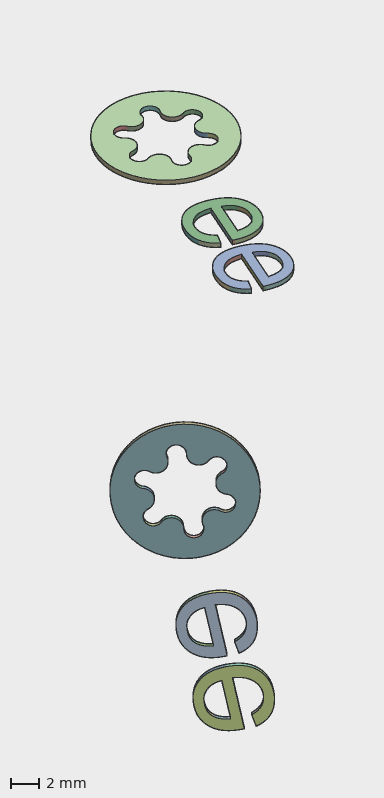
import cadquery as cq
import math

overall_length = 24.5
thickness = 0.4
disc_diameter = 10.6

lobe_count = 6
lobe_tip_distance = 3.72
valley_distance = 2.23
lobe_radius = 0.7

letter_count = 2
letter_pitch = 5.88
letter_width = 5.07
letter_half_height = 2.87
bar_bottom = -0.25
bar_top = 0.55
bowl_half_height = 2.1
crown_x = 2.6
tail_inner = (4.1, -0.98)
tail_outer = (5.05, -1.1)
last_letter_x = overall_length - disc_diameter / 2 - letter_width


def polar(distance, degrees):
    angle = math.radians(degrees)
    return (distance * math.cos(angle), distance * math.sin(angle))


def lobed_cutter():
    """Opening of equal lobe arcs joined tangentially by valley arcs."""
    half_step = 180 / lobe_count
    cosine = math.cos(math.radians(half_step))
    lobe_centre = lobe_tip_distance - lobe_radius
    excess = lobe_centre**2 + valley_distance**2 - 2 * lobe_centre * valley_distance * cosine - lobe_radius**2
    valley_radius = excess / (2 * (lobe_radius - valley_distance + lobe_centre * cosine))
    valley_centre = polar(valley_distance + valley_radius, half_step)

    share = lobe_radius / (lobe_radius + valley_radius)
    touch_x = lobe_centre + share * (valley_centre[0] - lobe_centre)
    touch_y = share * valley_centre[1]
    touch_distance = math.hypot(touch_x, touch_y)
    touch_angle = math.degrees(math.atan2(touch_y, touch_x))

    outline = cq.Workplane("XY").moveTo(*polar(touch_distance, -touch_angle))
    for index in range(lobe_count):
        lobe_angle = index * 2 * half_step
        outline = outline.threePointArc(
            polar(lobe_tip_distance, lobe_angle),
            polar(touch_distance, lobe_angle + touch_angle),
        )
        outline = outline.threePointArc(
            polar(valley_distance, lobe_angle + half_step),
            polar(touch_distance, lobe_angle + 2 * half_step - touch_angle),
        )
    return outline.close().extrude(thickness)


def make_disc():
    blank = cq.Workplane("XY").circle(disc_diameter / 2).extrude(thickness)
    return blank.cut(lobed_cutter())


def smooth_bow(outline, start, first_control, second_control, end):
    """Two quadratic curves that meet smoothly halfway between their control points."""
    middle = tuple((a + b) / 2 for a, b in zip(first_control, second_control))
    outline = outline.bezier([start, first_control, middle])
    return outline.bezier([middle, second_control, end])


def letter_body():
    """Outside of the letter e, including the open lower bowl."""
    bottom = (crown_x, -letter_half_height)
    left = (0, 0)
    top = (crown_x, letter_half_height)
    right = (letter_width, 0)
    bar_left = (0.95, bar_bottom)
    bowl_bottom = (crown_x, -bowl_half_height)

    outline = cq.Workplane("XY").moveTo(*tail_inner).lineTo(*tail_outer)
    outline = smooth_bow(outline, tail_outer, (4.83, -1.95), (3.58, -letter_half_height), bottom)
    outline = smooth_bow(outline, bottom, (1.42, -letter_half_height), (0, -1.4), left)
    outline = smooth_bow(outline, left, (0, 1.37), (1.45, letter_half_height), top)
    outline = smooth_bow(outline, top, (3.68, letter_half_height), (letter_width, 1.37), right)
    outline = outline.lineTo(letter_width, bar_bottom).lineTo(*bar_left)
    outline = smooth_bow(outline, bar_left, (1.03, -1.15), (1.94, -bowl_half_height), bowl_bottom)
    outline = smooth_bow(outline, bowl_bottom, (3.14, -bowl_half_height), (3.87, -1.57), tail_inner)
    return outline.close().extrude(thickness)


def letter_eye():
    """Closed opening above the crossbar."""
    left = (1.03, bar_top)
    right = (4.1, bar_top)
    top = (crown_x, bowl_half_height)

    outline = cq.Workplane("XY").moveTo(*left).lineTo(*right)
    outline = smooth_bow(outline, right, (4.05, 1.22), (3.3, bowl_half_height), top)
    outline = smooth_bow(outline, top, (1.94, bowl_half_height), (1.05, 1.25), left)
    return outline.close().extrude(thickness)


def make_letter(left_x):
    return letter_body().cut(letter_eye()).translate((left_x, 0, 0))


disc = make_disc()
letters = [make_letter(last_letter_x - index * letter_pitch) for index in range(letter_count)]

result = cq.Compound.makeCompound([disc.val(), *[letter.val() for letter in letters]])